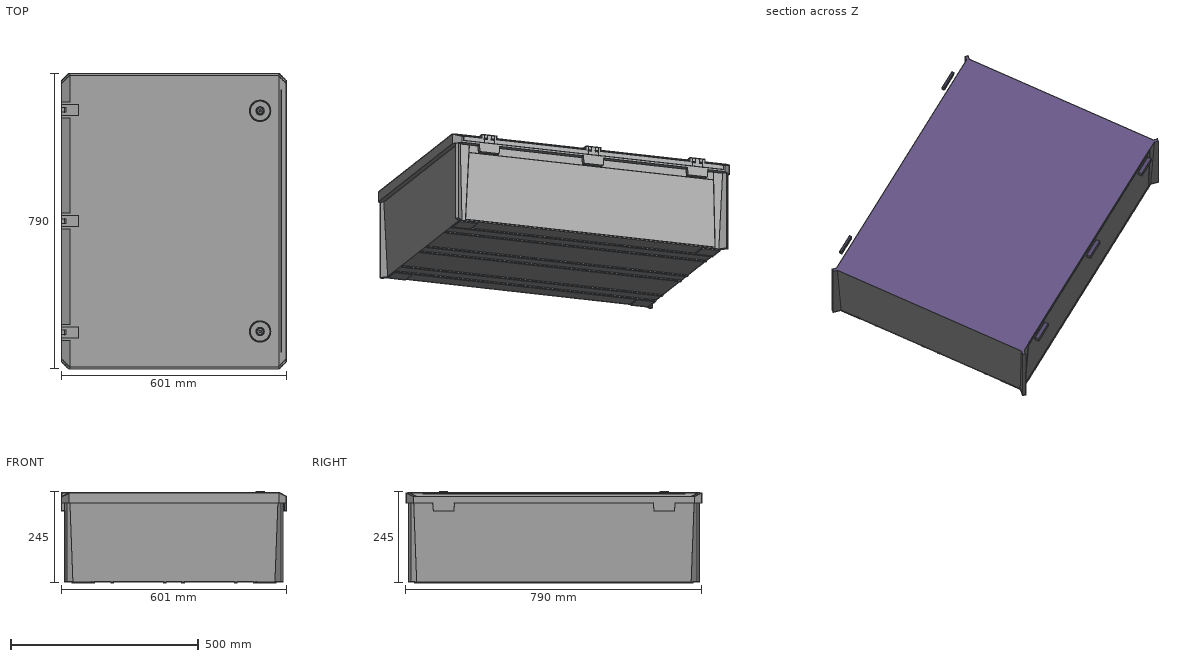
import cadquery as cq

LENGTH_X = 601.0
LENGTH_Y = 790.0
HALF_X = LENGTH_X / 2
HALF_Y = LENGTH_Y / 2
TOP_Z = 245.0

BASE_BOTTOM_Z = 3.0
PARTING_Z = 213.0
LID_TOP_Z = 242.0

BASE_HALF_X = HALF_X - 9.0
BASE_HALF_Y = HALF_Y - 6.0
POST_CHAMFER = 6.0
WALL_SETBACK_TOP = 8.0
WALL_SETBACK_BOTTOM = 16.0

PANEL_DEPTH = 1.5
PANEL_UPPER_DEPTH = 1.0
PANEL_BOTTOM_Z = 7.0
PANEL_STEP_Z = 193.0
PANEL_HALF_BOTTOM = 356.0
PANEL_HALF_TOP = 348.0

FOOT_SIZE = 51.0
FOOT_INSET_X = 20.0
FOOT_INSET_Y = 16.5
RIB_WIDTH = 7.0
RIB_OFFSETS_X = (24.5, 165.0, 216.0)

LID_CORNER = 20.0
LID_RIM_WIDTH = 5.5
LID_RIM_STEP = 1.0
SLAB_CORNER = LID_CORNER - LID_RIM_WIDTH + LID_RIM_WIDTH * 2 ** 0.5
HINGE_BEVEL_RUN = 23.0
HINGE_BEVEL_DROP = 11.0
LOCK_BEVEL_RUN = 20.0
LOCK_BEVEL_DROP = 10.0
GROOVE_OFFSET = 5.5
GROOVE_SIZE = 1.0
GROOVE_HALF_Y = 350.0
INSET_DEPTH = 1.0
INSET_HALF_Y = 370.5
INSET_BOTTOM_Z = 219.0
CUT_MARGIN = 8.0

LUG_BOTTOM_Z = PANEL_STEP_Z
LUG_WIDTH_TOP = 58.5
LUG_WIDTH_BOTTOM = 54.5
HINGE_LUG_THICKNESS = 12.0
LOCK_LUG_THICKNESS = 6.0

HINGE_SPACING = 297.0
HINGE_YS = (-HINGE_SPACING, 0.0, HINGE_SPACING)
HINGE_WIDTH = 29.0
HINGE_END = 46.0
HINGE_FACE_X = -HALF_X + INSET_DEPTH
HINGE_LENGTH = HINGE_END - INSET_DEPTH
HINGE_TAB_WIDTH = 43.0
PLATE_THICKNESS = 9.5
HINGE_GAP = 3.0
LEAF_THICKNESS = 8.0
SLOT_WIDTH = 12.0
PLATE_BOTTOM_Z = LID_TOP_Z - PLATE_THICKNESS
LEAF_FOOT_TOP_Z = PLATE_BOTTOM_Z - HINGE_GAP

LOCK_X = HALF_X - 70.0
LOCK_SPACING = 295.0
LOCK_YS = (-LOCK_SPACING, LOCK_SPACING)
RECESS_RADIUS = 28.5
RECESS_DEPTH = 4.0
RECESS_TAPER = 30
KNOB_RADIUS = 11.0
SOCKET_RADIUS = 8.0
SOCKET_DEPTH = 4.0
SOCKET_PIN_RADIUS = 3.0


def box(x_min, x_max, y_min, y_max, z_min, z_max):
    """Axis-aligned block between two opposite corners."""
    size = (x_max - x_min, y_max - y_min, z_max - z_min)
    return cq.Workplane("XY").box(*size, centered=False).translate((x_min, y_min, z_min))


def chamfered_block(half_x, half_y, corner, z_min, z_max):
    """Upright block with its four vertical edges bevelled."""
    return box(-half_x, half_x, -half_y, half_y, z_min, z_max).edges("|Z").chamfer(corner)


def prism_along_y(points, half_y):
    """XZ outline extruded to both sides of the middle plane."""
    return cq.Workplane("XZ").polyline(points).close().extrude(half_y, both=True)


def wall_setback_cut(half_across, half_along):
    """Drafted cut between two posts on the -X side, with 45 degree ends."""
    edge = half_along - POST_CHAMFER

    def outline(depth):
        return [
            (-half_across, -edge),
            (-half_across + depth, -edge + depth),
            (-half_across + depth, edge - depth),
            (-half_across, edge),
        ]

    return (
        cq.Workplane("XY", origin=(0, 0, BASE_BOTTOM_Z))
        .polyline(outline(WALL_SETBACK_BOTTOM)).close()
        .workplane(offset=PARTING_Z - BASE_BOTTOM_Z)
        .polyline(outline(WALL_SETBACK_TOP)).close()
        .loft(ruled=True, combine=True)
    )


def wall_panel_cut(z_min, z_max, depth):
    """Slice of the wall panel between two levels, following the draft of the hinge-side wall."""

    def outline(z):
        rise = (z - BASE_BOTTOM_Z) / (PARTING_Z - BASE_BOTTOM_Z)
        setback = WALL_SETBACK_BOTTOM + rise * (WALL_SETBACK_TOP - WALL_SETBACK_BOTTOM)
        half_width = PANEL_HALF_BOTTOM + rise * (PANEL_HALF_TOP - PANEL_HALF_BOTTOM)
        x_out = -BASE_HALF_X + setback - PANEL_DEPTH
        x_in = -BASE_HALF_X + setback + depth
        return [(x_out, -half_width), (x_in, -half_width), (x_in, half_width), (x_out, half_width)]

    return (
        cq.Workplane("XY", origin=(0, 0, z_min))
        .polyline(outline(z_min)).close()
        .workplane(offset=z_max - z_min)
        .polyline(outline(z_max)).close()
        .loft(ruled=True, combine=True)
    )


def make_base():
    base = chamfered_block(BASE_HALF_X, BASE_HALF_Y, POST_CHAMFER, BASE_BOTTOM_Z, PARTING_Z)

    x_side = wall_setback_cut(BASE_HALF_X, BASE_HALF_Y)
    y_side = wall_setback_cut(BASE_HALF_Y, BASE_HALF_X).rotate((0, 0, 0), (0, 0, 1), 90)
    for cutter in (x_side, x_side.mirror("YZ"), y_side, y_side.mirror("XZ")):
        base = base.cut(cutter)
    base = base.cut(wall_panel_cut(PANEL_BOTTOM_Z, PANEL_STEP_Z, PANEL_DEPTH))
    base = base.cut(wall_panel_cut(PANEL_STEP_Z, PARTING_Z, PANEL_UPPER_DEPTH))

    foot_x = BASE_HALF_X - FOOT_INSET_X
    foot_y = BASE_HALF_Y - FOOT_INSET_Y
    foot = box(-foot_x, -foot_x + FOOT_SIZE, -foot_y, -foot_y + FOOT_SIZE, 0, BASE_BOTTOM_Z)
    for feet in (foot, foot.mirror("YZ")):
        base = base.union(feet).union(feet.mirror("XZ"))
    for offset in RIB_OFFSETS_X:
        for x in (-offset, offset):
            rib = box(x - RIB_WIDTH / 2, x + RIB_WIDTH / 2, -foot_y, foot_y, 0, BASE_BOTTOM_Z)
            base = base.union(rib)
    return base


def bevel_cut(edge_x, direction, run, drop, top_z):
    """Wedge that bevels a top edge; direction is +1 or -1 towards the outside."""
    slope = drop / run
    start_x = edge_x - direction * run
    outer_x = edge_x + direction * CUT_MARGIN
    points = [
        (start_x, top_z),
        (outer_x, top_z - drop - slope * CUT_MARGIN),
        (outer_x, top_z + CUT_MARGIN),
        (start_x, top_z + CUT_MARGIN),
    ]
    return prism_along_y(points, HALF_Y)


def bevel_lid_block(block, top_z):
    """Bevel both long edges, keeping full height at the hinge tabs."""
    hinge_bevel = bevel_cut(-HALF_X, -1, HINGE_BEVEL_RUN, HINGE_BEVEL_DROP, top_z)
    half_tab = HINGE_TAB_WIDTH / 2
    tab_end = -HALF_X + HINGE_BEVEL_RUN
    for y in HINGE_YS:
        tab = box(-HALF_X, tab_end, y - half_tab, y + half_tab, PARTING_Z, top_z)
        hinge_bevel = hinge_bevel.cut(tab)
    lock_bevel = bevel_cut(HALF_X, 1, LOCK_BEVEL_RUN, LOCK_BEVEL_DROP, top_z)
    return block.cut(hinge_bevel).cut(lock_bevel)


def groove_cut():
    """Fine groove along the lock-side bevel."""
    x_min = HALF_X - LOCK_BEVEL_RUN + GROOVE_OFFSET
    floor_z = LID_TOP_Z - LOCK_BEVEL_DROP * GROOVE_OFFSET / LOCK_BEVEL_RUN - GROOVE_SIZE
    return box(x_min, x_min + GROOVE_SIZE, -GROOVE_HALF_Y, GROOVE_HALF_Y, floor_z, LID_TOP_Z)


def lug(x_min, thickness, y):
    """Tab that narrows downwards below the lid."""
    half_top = LUG_WIDTH_TOP / 2
    half_bottom = LUG_WIDTH_BOTTOM / 2
    points = [
        (y - half_top, PARTING_Z),
        (y + half_top, PARTING_Z),
        (y + half_bottom, LUG_BOTTOM_Z),
        (y - half_bottom, LUG_BOTTOM_Z),
    ]
    return cq.Workplane("YZ", origin=(x_min, 0, 0)).polyline(points).close().extrude(thickness)


def hinge_pocket(y):
    """Space in the lid that both halves of a hinge fill."""
    y_min = y - HINGE_WIDTH / 2
    y_max = y + HINGE_WIDTH / 2
    outside_x = -HALF_X - CUT_MARGIN
    plate_end = HINGE_FACE_X + HINGE_LENGTH
    leaf_end = HINGE_FACE_X + LEAF_THICKNESS
    plate_space = box(outside_x, plate_end, y_min, y_max, PLATE_BOTTOM_Z, LID_TOP_Z)
    leaf_space = box(outside_x, leaf_end, y_min, y_max, INSET_BOTTOM_Z, PLATE_BOTTOM_Z)
    return plate_space.union(leaf_space)


def lock_recess(y):
    return (
        cq.Workplane("XY", origin=(LOCK_X, y, LID_TOP_Z))
        .circle(RECESS_RADIUS).extrude(-RECESS_DEPTH, taper=RECESS_TAPER)
    )


def make_lid():
    rim_z = LID_TOP_Z - LID_RIM_STEP
    rim = chamfered_block(HALF_X, HALF_Y, LID_CORNER, PARTING_Z, rim_z)
    slab = chamfered_block(HALF_X, HALF_Y - LID_RIM_WIDTH, SLAB_CORNER, PARTING_Z, LID_TOP_Z)
    lid = bevel_lid_block(rim, rim_z).union(bevel_lid_block(slab, LID_TOP_Z))

    lid = lid.cut(box(-HALF_X, HINGE_FACE_X, -INSET_HALF_Y, INSET_HALF_Y, INSET_BOTTOM_Z, LID_TOP_Z))
    lid = lid.cut(groove_cut())

    for y in HINGE_YS:
        lid = lid.cut(hinge_pocket(y)).union(lug(-HALF_X, HINGE_LUG_THICKNESS, y))
    for y in LOCK_YS:
        lid = lid.cut(lock_recess(y)).union(lug(HALF_X - LOCK_LUG_THICKNESS, LOCK_LUG_THICKNESS, y))
    return lid


def make_hinge_plate(y):
    """Upper hinge half: plate with an open slot for the tongue."""
    half_width = HINGE_WIDTH / 2
    half_slot = SLOT_WIDTH / 2
    plate_end = HINGE_FACE_X + HINGE_LENGTH
    slot_end = HINGE_FACE_X + LEAF_THICKNESS + HINGE_GAP
    plate = box(HINGE_FACE_X, plate_end, y - half_width, y + half_width, PLATE_BOTTOM_Z, LID_TOP_Z)
    slot = box(HINGE_FACE_X, slot_end, y - half_slot, y + half_slot, PLATE_BOTTOM_Z, LID_TOP_Z)
    return plate.cut(slot)


def make_hinge_leaf(y):
    """Lower hinge half: foot with a tongue that rises through the slot."""
    half_width = HINGE_WIDTH / 2
    half_tongue = SLOT_WIDTH / 2
    leaf_end = HINGE_FACE_X + LEAF_THICKNESS
    foot = box(HINGE_FACE_X, leaf_end, y - half_width, y + half_width, INSET_BOTTOM_Z, LEAF_FOOT_TOP_Z)
    tongue = box(HINGE_FACE_X, leaf_end, y - half_tongue, y + half_tongue, LEAF_FOOT_TOP_Z, LID_TOP_Z)
    return foot.union(tongue)


def make_lock(y):
    """Round knob with a key socket around a central pin."""
    floor_z = LID_TOP_Z - RECESS_DEPTH
    knob = cq.Workplane("XY", origin=(LOCK_X, y, floor_z)).circle(KNOB_RADIUS).extrude(TOP_Z - floor_z)
    socket = (
        cq.Workplane("XY", origin=(LOCK_X, y, TOP_Z))
        .circle(SOCKET_RADIUS).circle(SOCKET_PIN_RADIUS).extrude(-SOCKET_DEPTH)
    )
    return knob.cut(socket)


base = make_base()
lid = make_lid()
hinge_plates = [make_hinge_plate(y) for y in HINGE_YS]
hinge_leaves = [make_hinge_leaf(y) for y in HINGE_YS]
locks = [make_lock(y) for y in LOCK_YS]

bodies = [base, lid, *hinge_plates, *hinge_leaves, *locks]
result = cq.Compound.makeCompound([body.val() for body in bodies])